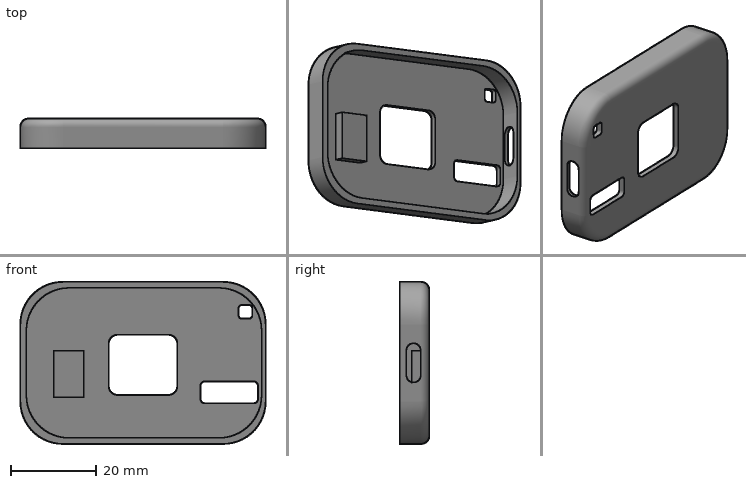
import cadquery as cq

LENGTH = 57.5
DEPTH = 7.0
HEIGHT = 38.0
CORNER_RADIUS = 10.0
BACK_EDGE_RADIUS = 2.0

WALL = 1.45
THIN_WALL = 1.0
FLOOR = 1.5
FLOOR_FACE_Y = DEPTH - FLOOR

MAIN_WINDOW = (0.0, -0.45, 16.0, 14.05, 2.0)
LOWER_WINDOW = (20.2, -6.9, 13.4, 5.05, 1.0)
SMALL_WINDOW = (24.0, 11.95, 3.15, 3.1, 0.7)

BLOCK_X = -17.35
BLOCK_Z = -2.6
BLOCK_WIDTH = 7.1
BLOCK_HEIGHT = 10.9
BLOCK_RISE = 2.65

PORT_Y = 3.3
PORT_Z = 0.0
PORT_WIDTH = 3.35
PORT_LENGTH = 9.15
PORT_RADIUS = 1.6


def rounded_prism(x, z, width, height, radius, start_y, end_y):
    """Prism along Y, centred on (x, z), with rounded corners."""
    prism = cq.Workplane("XY").box(width, end_y - start_y, height)
    prism = prism.edges("|Y").fillet(radius)
    return prism.translate((x, (start_y + end_y) / 2, z))


def make_shell():
    body = rounded_prism(0, 0, LENGTH, HEIGHT, CORNER_RADIUS, 0, DEPTH)
    body = body.faces(">Y").edges().fillet(BACK_EDGE_RADIUS)
    cavity_x = (WALL - THIN_WALL) / 2
    cavity_length = LENGTH - WALL - THIN_WALL
    cavity_height = HEIGHT - 2 * WALL
    cavity = rounded_prism(
        cavity_x, 0, cavity_length, cavity_height, CORNER_RADIUS, 0, FLOOR_FACE_Y
    )
    return body.cut(cavity)


def make_block():
    block = cq.Workplane("XY").box(BLOCK_WIDTH, BLOCK_RISE, BLOCK_HEIGHT)
    return block.translate((BLOCK_X, FLOOR_FACE_Y - BLOCK_RISE / 2, BLOCK_Z))


def make_port():
    cut_length = 2 * THIN_WALL
    port = cq.Workplane("XY").box(cut_length, PORT_WIDTH, PORT_LENGTH)
    port = port.edges("|X").fillet(PORT_RADIUS)
    return port.translate((LENGTH / 2 - THIN_WALL / 2, PORT_Y, PORT_Z))


result = make_shell()
for window in (MAIN_WINDOW, LOWER_WINDOW, SMALL_WINDOW):
    result = result.cut(rounded_prism(*window, FLOOR_FACE_Y, DEPTH))
result = result.union(make_block()).cut(make_port())